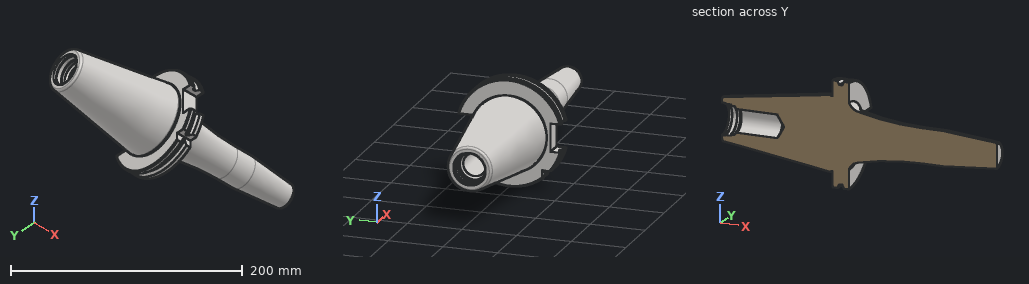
import cadquery as cq
import math

total_length = 261.5
gauge_plane_x = 101.8
flange_back_x = 105.0
flange_front_x = 120.9
fillet_end_x = 129.2
neck_start_x = 190.0
neck_end_x = 210.8

gauge_radius = 69.8 / 2
taper_ratio = 7 / 24
relief_radius = 34.3
flange_radius = 48.7
shoulder_radius = 30.3
fillet_end_radius = 23.3
neck_radius = 16.2
nose_radius = 12.0

taper_rounding = 2.0
land_width = 1.5
rim_chamfer = 0.8
nose_chamfer = 1.3

groove_centre_x = 112.7
groove_depth = 3.5
groove_floor_width = 2.4
groove_flank_angle = 30

slot_width = 25.6
slot_floor_front = 37.7
slot_floor_back = 35.0
notch_side = 30.0
notch_top = 30.5

mouth_radius = 14.6
mouth_depth = 3.1
pilot_radius = 13.9
pilot_depth = 8.5
guide_radius = 12.8
guide_depth = 11.5
thread_radius = 10.5
thread_end_x = 52.3
drill_half_angle = 59


def revolve_about_x(profile):
    return profile.close().revolve(360, (0, 0, 0), (1, 0, 0))


def make_body():
    land_end_x = gauge_plane_x + land_width
    rounding_sagitta = taper_rounding * (1 - math.sqrt(0.5))
    rounding_end_radius = gauge_radius - (gauge_plane_x - taper_rounding) * taper_ratio / 2
    profile = (
        cq.Workplane("XY")
        .moveTo(total_length, 0)
        .lineTo(total_length, nose_radius - nose_chamfer)
        .lineTo(total_length - nose_chamfer, nose_radius)
        .lineTo(neck_end_x, neck_radius)
        .lineTo(neck_start_x, neck_radius)
        .tangentArcPoint((fillet_end_x, fillet_end_radius), relative=False)
        .tangentArcPoint((flange_front_x, shoulder_radius), relative=False)
        .lineTo(flange_front_x, flange_radius - rim_chamfer)
        .lineTo(flange_front_x - rim_chamfer, flange_radius)
        .lineTo(flange_back_x + rim_chamfer, flange_radius)
        .lineTo(flange_back_x, flange_radius - rim_chamfer)
        .lineTo(flange_back_x, relief_radius)
        .lineTo(land_end_x + (gauge_radius - relief_radius), relief_radius)
        .lineTo(land_end_x, gauge_radius)
        .lineTo(gauge_plane_x, gauge_radius)
        .lineTo(taper_rounding, rounding_end_radius)
        .threePointArc(
            (rounding_sagitta, rounding_end_radius - rounding_sagitta),
            (0, rounding_end_radius - taper_rounding),
        )
        .lineTo(0, 0)
    )
    return revolve_about_x(profile)


def make_gripper_groove():
    half_floor = groove_floor_width / 2
    half_rim = half_floor + groove_depth * math.tan(math.radians(groove_flank_angle))
    floor_radius = flange_radius - groove_depth
    clear_radius = flange_radius + groove_depth
    profile = (
        cq.Workplane("XY")
        .moveTo(groove_centre_x - half_floor, floor_radius)
        .lineTo(groove_centre_x + half_floor, floor_radius)
        .lineTo(groove_centre_x + half_rim, flange_radius)
        .lineTo(groove_centre_x + half_rim, clear_radius)
        .lineTo(groove_centre_x - half_rim, clear_radius)
        .lineTo(groove_centre_x - half_rim, flange_radius)
    )
    return revolve_about_x(profile)


def make_drive_slot(floor_distance, side):
    """Slot through the flange; side is -1 for -Y and +1 for +Y."""
    depth = flange_radius - floor_distance
    return cq.Workplane("XY").box(flange_front_x - flange_back_x, depth, slot_width).translate(
        ((flange_back_x + flange_front_x) / 2, side * (floor_distance + depth / 2), 0)
    )


def make_orientation_notch():
    """Corner removed from the rim at -Y, -Z through the whole flange width."""
    return cq.Workplane("XY").box(
        flange_front_x - flange_back_x,
        flange_radius - notch_side,
        flange_radius - notch_top,
        centered=False,
    ).translate((flange_back_x, -flange_radius, -flange_radius))


def make_pull_stud_hole():
    lead_in = guide_radius - thread_radius
    point_depth = thread_radius / math.tan(math.radians(drill_half_angle))
    profile = (
        cq.Workplane("XY")
        .lineTo(0, mouth_radius)
        .lineTo(mouth_depth, mouth_radius)
        .lineTo(mouth_depth, pilot_radius)
        .lineTo(pilot_depth, pilot_radius)
        .lineTo(pilot_depth, guide_radius)
        .lineTo(guide_depth, guide_radius)
        .lineTo(guide_depth + lead_in, thread_radius)
        .lineTo(thread_end_x, thread_radius)
        .lineTo(thread_end_x + point_depth, 0)
    )
    return revolve_about_x(profile)


result = (
    make_body()
    .cut(make_gripper_groove())
    .cut(make_drive_slot(slot_floor_front, -1))
    .cut(make_drive_slot(slot_floor_back, 1))
    .cut(make_orientation_notch())
    .cut(make_pull_stud_hole())
)